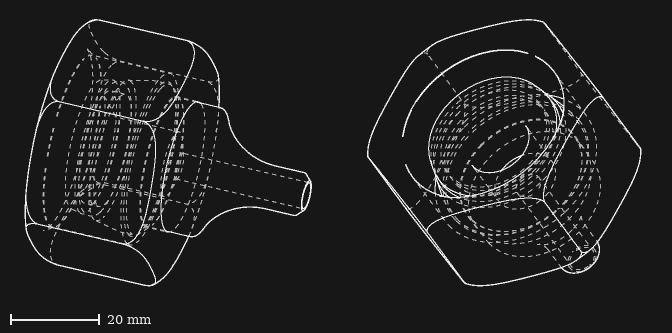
import cadquery as cq
import math

TOTAL_LENGTH = 58.45

LIGHT_ROUND = 0.3
SMALL_ROUND = 0.5

NUT_LENGTH = 29.0
NUT_ACROSS_FLATS = 50.0
NUT_CORNER_ROUND = 4.5
NUT_THREAD_DIA = 39.8
NUT_THREAD_DEPTH = 21.05
NUT_SEAT_DIA = 35.95
NUT_EXIT_DIA = 30.2
SEAT_HALF_ANGLE = 45.0
NUT_MOUTH_DIA = 42.8
NUT_MOUTH_HALF_ANGLE = 30.0

BODY_DIA = 29.95
NIPPLE_FACE_X = 6.0
NIPPLE_FACE_DIA = BODY_DIA
NIPPLE_TAPER_HALF_ANGLE = 12.0
COLLAR_DIA = 35.0
BODY_EDGE_ROUND = 1.0
NECK_RADIUS = 16.0
NECK_END_X = 49.75
TIP_DIA = 10.0
TIP_CHAMFER = 1.5

MOUTH_DIA = 25.1
MOUTH_HALF_ANGLE = 45.0
BORE_DIA = 15.0
BORE_END_X = 26.3
BORE_EDGE_ROUND = 1.0
DRILL_HALF_ANGLE = 68.0
THROUGH_HOLE_DIA = 6.0

GROOVE_START_X = 8.6
GROOVE_WIDTH = 3.55
RING_SECTION_DIA = 2.5
RING_OUTER_DIA = 31.1

MATCH_TOLERANCE = 0.005


def turned(profile):
    """Revolve a closed (x, radius) profile about the X axis."""
    return profile.close().revolve(360, (0, 0, 0), (1, 0, 0))


def run_over(radius_change, half_angle):
    """Axial length over which a cone changes its radius by the given amount."""
    return abs(radius_change) / math.tan(math.radians(half_angle))


def edges_at(solid, x, radius):
    """The circular edge about the X axis with the given place and radius."""

    def matches(edge):
        box = edge.BoundingBox()
        return (
            edge.geomType() == "CIRCLE"
            and abs(edge.radius() - radius) < MATCH_TOLERANCE
            and abs(box.center.x - x) < MATCH_TOLERANCE
        )

    return solid.edges().filter(matches)


def make_nut():
    corner_dia = NUT_ACROSS_FLATS / math.cos(math.pi / 6)
    hexagon = cq.Workplane("YZ").polygon(6, corner_dia).extrude(NUT_LENGTH)
    envelope = cq.Workplane("YZ").circle(corner_dia / 2).extrude(NUT_LENGTH)
    rounded_envelope = envelope.faces("<X or >X").edges().fillet(NUT_CORNER_ROUND)

    mouth_depth = run_over((NUT_MOUTH_DIA - NUT_THREAD_DIA) / 2, NUT_MOUTH_HALF_ANGLE)
    seat_end_x = NUT_THREAD_DEPTH + run_over((NUT_SEAT_DIA - NUT_EXIT_DIA) / 2, SEAT_HALF_ANGLE)
    cavity = turned(
        cq.Workplane("XY")
        .moveTo(0, 0)
        .lineTo(0, NUT_MOUTH_DIA / 2)
        .lineTo(mouth_depth, NUT_THREAD_DIA / 2)
        .lineTo(NUT_THREAD_DEPTH, NUT_THREAD_DIA / 2)
        .lineTo(NUT_THREAD_DEPTH, NUT_SEAT_DIA / 2)
        .lineTo(seat_end_x, NUT_EXIT_DIA / 2)
        .lineTo(NUT_LENGTH, NUT_EXIT_DIA / 2)
        .lineTo(NUT_LENGTH, 0)
    )
    nut = hexagon.intersect(rounded_envelope).cut(cavity)
    nut = edges_at(nut, 0, NUT_MOUTH_DIA / 2).fillet(LIGHT_ROUND)
    return edges_at(nut, mouth_depth, NUT_THREAD_DIA / 2).fillet(LIGHT_ROUND)


def make_nipple_outside():
    face_r = NIPPLE_FACE_DIA / 2
    collar_r = COLLAR_DIA / 2
    body_r = BODY_DIA / 2
    tip_r = TIP_DIA / 2
    taper_end_x = NIPPLE_FACE_X + run_over(collar_r - face_r, NIPPLE_TAPER_HALF_ANGLE)
    shoulder_x = NUT_THREAD_DEPTH + run_over(NUT_SEAT_DIA / 2 - collar_r, SEAT_HALF_ANGLE)
    shoulder_end_x = shoulder_x + run_over(collar_r - body_r, SEAT_HALF_ANGLE)

    neck_centre_r = tip_r + NECK_RADIUS
    sweep = math.acos((neck_centre_r - body_r) / NECK_RADIUS)
    neck_start_x = NECK_END_X - NECK_RADIUS * math.sin(sweep)
    neck_middle = (
        NECK_END_X - NECK_RADIUS * math.sin(sweep / 2),
        neck_centre_r - NECK_RADIUS * math.cos(sweep / 2),
    )
    outside = turned(
        cq.Workplane("XY")
        .moveTo(NIPPLE_FACE_X, 0)
        .lineTo(NIPPLE_FACE_X, face_r)
        .lineTo(taper_end_x, collar_r)
        .lineTo(shoulder_x, collar_r)
        .lineTo(shoulder_end_x, body_r)
        .lineTo(neck_start_x, body_r)
        .threePointArc(neck_middle, (NECK_END_X, tip_r))
        .lineTo(TOTAL_LENGTH - TIP_CHAMFER, tip_r)
        .lineTo(TOTAL_LENGTH, tip_r - TIP_CHAMFER)
        .lineTo(TOTAL_LENGTH, 0)
    )
    outside = edges_at(outside, NIPPLE_FACE_X, face_r).fillet(LIGHT_ROUND)
    outside = edges_at(outside, neck_start_x, body_r).fillet(BODY_EDGE_ROUND)
    return edges_at(outside, TOTAL_LENGTH - TIP_CHAMFER, tip_r).fillet(SMALL_ROUND)


def make_groove():
    """The square-walled band cut out of the nipple taper for the O-ring."""
    groove_floor_r = RING_OUTER_DIA / 2 - RING_SECTION_DIA
    return (
        cq.Workplane("YZ", origin=(GROOVE_START_X, 0, 0))
        .circle(COLLAR_DIA / 2)
        .circle(groove_floor_r)
        .extrude(GROOVE_WIDTH)
    )


def make_nipple():
    mouth_r = MOUTH_DIA / 2
    bore_r = BORE_DIA / 2
    hole_r = THROUGH_HOLE_DIA / 2
    mouth_end_x = NIPPLE_FACE_X + run_over(mouth_r - bore_r, MOUTH_HALF_ANGLE)
    drill_end_x = BORE_END_X + run_over(bore_r - hole_r, DRILL_HALF_ANGLE)
    bore = turned(
        cq.Workplane("XY")
        .moveTo(NIPPLE_FACE_X, 0)
        .lineTo(NIPPLE_FACE_X, mouth_r)
        .lineTo(mouth_end_x, bore_r)
        .lineTo(BORE_END_X, bore_r)
        .lineTo(drill_end_x, hole_r)
        .lineTo(TOTAL_LENGTH, hole_r)
        .lineTo(TOTAL_LENGTH, 0)
    )
    nipple = make_nipple_outside().cut(bore).cut(make_groove())
    nipple = edges_at(nipple, mouth_end_x, bore_r).fillet(BORE_EDGE_ROUND)
    return edges_at(nipple, NIPPLE_FACE_X, mouth_r).fillet(SMALL_ROUND)


def make_o_ring():
    section_r = RING_SECTION_DIA / 2
    centre_x = GROOVE_START_X + GROOVE_WIDTH / 2
    centre_r = RING_OUTER_DIA / 2 - section_r
    ring = cq.Solid.makeTorus(centre_r, section_r, cq.Vector(centre_x, 0, 0), cq.Vector(1, 0, 0))
    return cq.Workplane(ring)


nut = make_nut()
nipple = make_nipple()
o_ring = make_o_ring()

result = cq.Compound.makeCompound([nut.solids().val(), nipple.solids().val(), o_ring.val()])